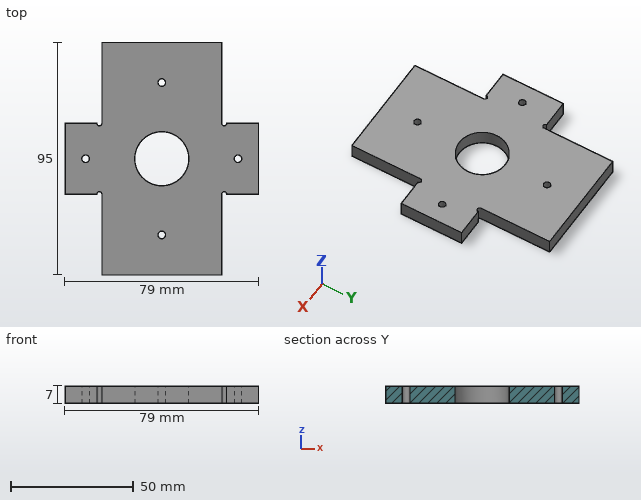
import cadquery as cq
import math

thickness = 7.0
body_width = 49.0
body_length = 95.0
ear_span = 79.0
ear_length = 29.0

bore_diameter = 22.0
bolt_diameter = 3.0
bolt_square_side = 44.0
bolt_circle_diameter = bolt_square_side * math.sqrt(2)
bolt_count = 4

relief_diameter = 2.0
relief_x = body_width / 2 + relief_diameter / 2
relief_y = ear_length / 2


def make_cross():
    """Cross-shaped plate centred on the origin."""
    body = cq.Workplane("XY").box(body_width, body_length, thickness)
    ears = cq.Workplane("XY").box(ear_span, ear_length, thickness)
    return body.union(ears)


def cut_corner_reliefs(plate):
    """Relieve the four inner corners of the cross."""
    reliefs = (
        cq.Workplane("XY", origin=(0, 0, -thickness / 2))
        .rect(2 * relief_x, 2 * relief_y, forConstruction=True)
        .vertices()
        .circle(relief_diameter / 2)
        .extrude(thickness)
    )
    return plate.cut(reliefs)


def cut_holes(plate):
    """Central bore and the bolt holes on the X and Y axes."""
    plate = plate.faces(">Z").workplane(origin=(0, 0, 0)).hole(bore_diameter)
    return (
        plate.faces(">Z")
        .workplane(origin=(0, 0, 0))
        .polarArray(bolt_circle_diameter / 2, 0, 360, bolt_count)
        .hole(bolt_diameter)
    )


result = cut_holes(cut_corner_reliefs(make_cross()))